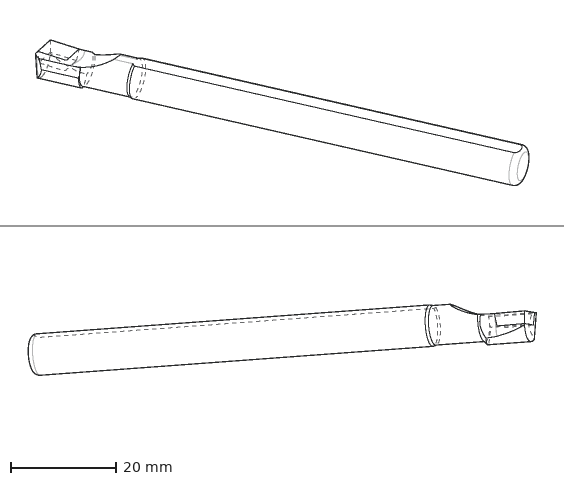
import cadquery as cq
import math

total_length = 100.0
shank_radius = 4.0
shank_flat_height = 3.7
shank_end_fillet = 1.2
neck_radius = 3.8
neck_end = 19.9
step_length = 0.6

head_radius = 5.0
head_center_y = 1.0
head_center_z = 0.3
head_end = 10.1
head_back_y = 4.6
corner_start = (0.0, -1.4)
corner_middle = (0.8, -2.6)
corner_end = (2.1, -3.8)
side_flat_top = (-3.2, 1.7)
side_flat_bottom_z = -0.2

rake_tilt = 10.0
rake_height = 1.1
relief_angle = 7.0

insert_thickness = 2.4
insert_length = 6.4
insert_tip_y = 6.0
insert_edge = 6.3
insert_angle = 80.0
insert_corner_radius = 0.4

scallop_center_x = -1.5
scallop_center_y = 0.5
scallop_floor_radius = 10.0
scallop_rim_radius = 13.0
scallop_height = 6.0

oversize = 20.0

tilt = math.radians(rake_tilt)
rake_plane = cq.Plane(
    origin=(0, 0, rake_height),
    xDir=(1, 0, 0),
    normal=(0, math.sin(tilt), math.cos(tilt)),
)
edge_drop = math.tan(math.radians(90 - insert_angle))
tip = insert_tip_y / math.cos(tilt)


def x_cylinder(radius, start, end, y=0.0, z=0.0):
    """Cylinder along X between two stations."""
    return cq.Workplane("YZ", origin=(start, y, z)).circle(radius).extrude(end - start)


def make_insert():
    """Rhombic plate tapering downwards by the relief angle."""
    drop = insert_length * edge_drop
    outline = [
        (0, tip),
        (insert_length, tip - drop),
        (insert_length, tip - drop - insert_edge),
        (0, tip - insert_edge),
    ]
    plate = cq.Workplane(rake_plane).polyline(outline).close().extrude(-insert_thickness, taper=relief_angle)
    inner_corner = cq.selectors.NearestToPointSelector(
        rake_plane.toWorldCoords((*outline[2], -insert_thickness / 2)).toTuple()
    )
    return plate.edges(inner_corner).fillet(insert_corner_radius)


def make_head():
    """Offset cylinder trimmed to the relieved outline of the cutting end."""
    head = x_cylinder(head_radius, 0, head_end, head_center_y, head_center_z)

    blank_radius = oversize / 2
    bevel_depth = blank_radius - neck_radius
    shoulder = x_cylinder(blank_radius, 0, head_end).faces(">X").chamfer(bevel_depth)
    head = head.intersect(shoulder)

    corner_slope = (corner_end[0] - corner_middle[0]) / (corner_end[1] - corner_middle[1])
    corner_far_x = corner_middle[0] + corner_slope * (-oversize - corner_middle[1])
    outline = [
        (0, tip),
        (insert_length, tip - insert_length * edge_drop),
        (head_end, head_back_y / math.cos(tilt)),
        (2 * oversize, head_back_y / math.cos(tilt)),
        (2 * oversize, -oversize),
        (corner_far_x, -oversize),
        corner_middle,
        corner_start,
    ]
    relieved = cq.Workplane(rake_plane).polyline(outline).close().extrude(-oversize / 2, taper=relief_angle)
    upper = cq.Workplane(rake_plane).polyline(outline).close().extrude(oversize / 2)
    head = head.intersect(relieved.union(upper))

    side_drop = side_flat_bottom_z - head_center_z
    side_flat_bottom = (head_center_y - math.sqrt(head_radius**2 - side_drop**2), side_flat_bottom_z)
    side_waste = (
        cq.Workplane("YZ")
        .polyline([side_flat_bottom, side_flat_top, (side_flat_top[0], oversize), (-oversize, oversize),
                   (-oversize, side_flat_bottom[1])])
        .close()
        .extrude(head_end)
    )
    return head.cut(side_waste)


def make_shank():
    """Neck, conical step and shank, with one flat along the top."""
    neck = x_cylinder(neck_radius, head_end, neck_end)
    step_end = neck_end + step_length
    step = (
        cq.Workplane("YZ", origin=(neck_end, 0, 0))
        .circle(neck_radius)
        .workplane(offset=step_length)
        .circle(shank_radius)
        .loft()
    )
    shank = x_cylinder(shank_radius, step_end, total_length).faces(">X").edges().fillet(shank_end_fillet)
    flat_waste = (
        cq.Workplane("XY", origin=(0, 0, shank_flat_height))
        .rect(2 * total_length + oversize, oversize)
        .extrude(oversize)
    )
    return neck.union(step).union(shank).cut(flat_waste)


def make_scallop():
    """Cutter for the chip space: a disc whose rim rises as a concave arc."""
    rim_reach = math.sqrt(scallop_rim_radius**2 - (scallop_rim_radius - scallop_height) ** 2)
    half_angle = math.atan2(rim_reach, scallop_rim_radius - scallop_height) / 2
    arc_middle = (
        scallop_floor_radius + scallop_rim_radius * math.sin(half_angle),
        scallop_rim_radius * (1 - math.cos(half_angle)),
    )
    axis_point = rake_plane.toWorldCoords((scallop_center_x, scallop_center_y / math.cos(tilt), 0))
    profile_plane = cq.Plane(origin=axis_point, xDir=(1, 0, 0), normal=(0, -math.cos(tilt), math.sin(tilt)))
    return (
        cq.Workplane(profile_plane)
        .lineTo(scallop_floor_radius, 0)
        .threePointArc(arc_middle, (scallop_floor_radius + rim_reach, scallop_height))
        .lineTo(0, scallop_height)
        .close()
        .revolve(360, (0, 0), (0, 1))
    )


insert = make_insert()
bar = make_shank().union(make_head()).cut(make_scallop()).cut(insert)

result = cq.Compound.makeCompound([bar.solids().val(), insert.solids().val()])